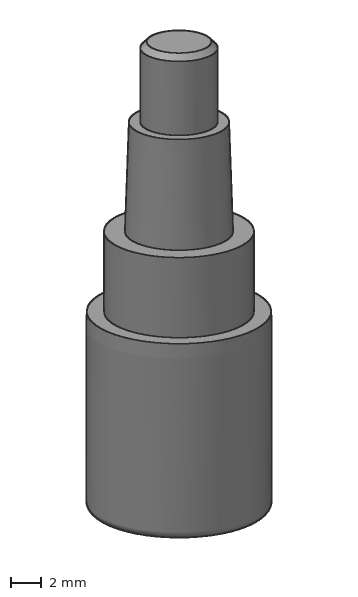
import cadquery as cq

total_height = 32.1
tip_length = 5.52
taper_length = 7.55
collar_length = 5.52
rim_length = 1.0

housing_diameter = 12.0
rim_top_diameter = 11.9
collar_diameter = 9.7
taper_base_diameter = 7.0
taper_top_diameter = 6.5
tip_diameter = 5.0

tip_chamfer = 0.42
base_fillet = 0.5

tip_base_z = total_height - tip_length
taper_base_z = tip_base_z - taper_length
housing_height = taper_base_z - collar_length
rim_base_z = housing_height - rim_length


def make_housing():
    """Round housing with a slightly tapered rim and a rounded bottom edge."""
    outer_radius = housing_diameter / 2
    profile = (
        cq.Workplane("XZ")
        .moveTo(0, 0)
        .lineTo(outer_radius, 0)
        .lineTo(outer_radius, rim_base_z)
        .lineTo(rim_top_diameter / 2, housing_height)
        .lineTo(0, housing_height)
        .close()
    )
    housing = profile.revolve(360, (0, 0, 0), (0, 1, 0))
    return housing.faces("<Z").edges().fillet(base_fillet)


def make_stepped_pin():
    """Collar, tapered shank and chamfered tip, seated on top of the housing."""
    collar_radius = collar_diameter / 2
    tip_radius = tip_diameter / 2
    profile = (
        cq.Workplane("XZ")
        .moveTo(0, housing_height)
        .lineTo(collar_radius, housing_height)
        .lineTo(collar_radius, taper_base_z)
        .lineTo(taper_base_diameter / 2, taper_base_z)
        .lineTo(taper_top_diameter / 2, tip_base_z)
        .lineTo(tip_radius, tip_base_z)
        .lineTo(tip_radius, total_height)
        .lineTo(0, total_height)
        .close()
    )
    pin = profile.revolve(360, (0, 0, 0), (0, 1, 0))
    return pin.faces(">Z").edges().chamfer(tip_chamfer)


housing = make_housing()
stepped_pin = make_stepped_pin()

result = cq.Compound.makeCompound([housing.val(), stepped_pin.val()])